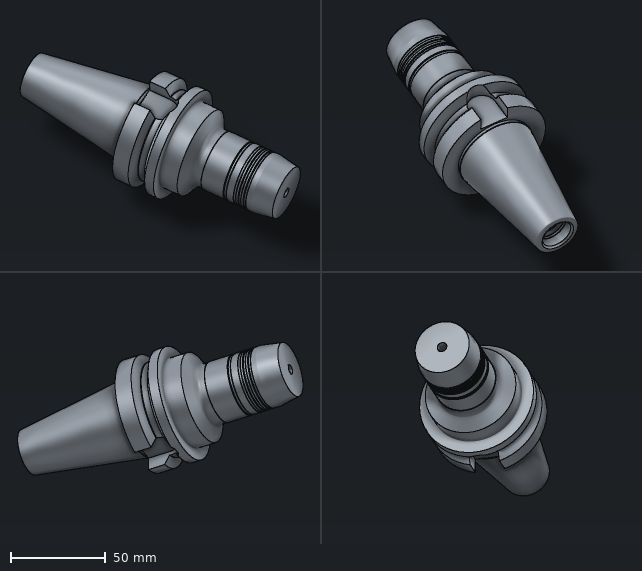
import cadquery as cq
import math


TAPER_LENGTH = 65.4
GAUGE_DIAMETER = 44.45
TAPER_RATIO = 7 / 24
TIP_FILLET = 1.0
RELIEF_DIAMETER = 43.6

FLANGE_START = 2.0
FLANGE_END = 27.0
FLANGE_DIAMETER = 63.0
GRIP_CENTER = 16.55
GRIP_FLOOR_DIAMETER = 53.0
GRIP_FLOOR_WIDTH = 4.2
GRIP_WALL_ANGLE = 30.0
GRIP_RELIEF_DEPTH = 0.1
GRIP_RELIEF_WIDTH = 0.4

SLOT_WIDTH = 16.1
SLOT_END = 22.9
SLOT_FLOOR_RADIUS = 22.6

SHOULDER_DIAMETER = 50.0
SHOULDER_END = 37.7
SHOULDER_ROOT_FILLET = 0.5
SHOULDER_CONE_ANGLE = 58.0
NECK_DIAMETER = 33.4
NECK_FILLET = 3.0
NOSE_DIAMETER = 34.0
NOSE_START = 47.6
NOSE_CONE_START = 78.3
NOSE_END_DIAMETER = 30.0
NOSE_END = 90.0

GROOVE_DEPTH = 0.4
GROOVE_CHAMFER = 0.4
CLIP_GROOVE_CENTER = 62.1
CLIP_GROOVE_WIDTH = 2.0
RING_SEAT_CENTER = 71.0
RING_SEAT_WIDTH = 7.5
RING_WIDTH = 2.0
RING_GAP = 1.1

MOUTH_DIAMETER = 19.2
PILOT_DIAMETER = 17.2
PILOT_START_DEPTH = 1.2
PILOT_END_DEPTH = 7.0
PILOT_RELIEF_DIAMETER = 17.8
PILOT_RELIEF_WIDTH = 1.6
THREAD_DIAMETER = 13.8
THREAD_START_DEPTH = 10.2
THREAD_END_DEPTH = 35.0
DRILL_DIAMETER = 8.8
DRILL_CONE_ANGLE = 60.0
DRILL_END_DEPTH = 45.0
COOLANT_DIAMETER = 5.2
COOLANT_CHAMFER = 0.4

EDGE_PICK_MARGIN = 0.01

tip_x = -TAPER_LENGTH
tip_radius = (GAUGE_DIAMETER - TAPER_RATIO * TAPER_LENGTH) / 2
nose_radius = NOSE_DIAMETER / 2
seat_radius = nose_radius - GROOVE_DEPTH


def turn(points):
    """Revolve a closed (x, radius) outline about the X axis."""
    return cq.Workplane("XZ").polyline(points).close().revolve(360, (0, 0, 0), (1, 0, 0))


def ring_band(start, end, inner_radius, outer_radius):
    """Plain ring around the X axis."""
    return turn([
        (start, inner_radius),
        (end, inner_radius),
        (end, outer_radius),
        (start, outer_radius),
    ])


def edges_at(solid, x, radius):
    """Circular edges up to the given radius in the plane across the axis at x."""
    reach = radius + EDGE_PICK_MARGIN
    box = cq.selectors.BoxSelector(
        (x - EDGE_PICK_MARGIN, -reach, -reach),
        (x + EDGE_PICK_MARGIN, reach, reach),
        boundingbox=True,
    )
    return solid.edges(box).edges("%CIRCLE")


def turned_blank():
    """Outside shape of the holder before grooves, slots and bore."""
    gauge_radius = GAUGE_DIAMETER / 2
    relief_radius = RELIEF_DIAMETER / 2
    flange_radius = FLANGE_DIAMETER / 2
    shoulder_radius = SHOULDER_DIAMETER / 2
    neck_radius = NECK_DIAMETER / 2
    cone_length = (shoulder_radius - neck_radius) / math.tan(math.radians(SHOULDER_CONE_ANGLE))
    neck_start = SHOULDER_END + cone_length
    blank = turn([
        (tip_x, 0),
        (tip_x, tip_radius),
        (0, gauge_radius),
        (0, relief_radius),
        (FLANGE_START, relief_radius),
        (FLANGE_START, flange_radius),
        (FLANGE_END, flange_radius),
        (FLANGE_END, shoulder_radius),
        (SHOULDER_END, shoulder_radius),
        (neck_start, neck_radius),
        (NOSE_START, neck_radius),
        (NOSE_START, nose_radius),
        (NOSE_CONE_START, nose_radius),
        (NOSE_END, NOSE_END_DIAMETER / 2),
        (NOSE_END, 0),
    ])
    blank = edges_at(blank, tip_x, tip_radius).fillet(TIP_FILLET)
    blank = edges_at(blank, FLANGE_END, shoulder_radius).fillet(SHOULDER_ROOT_FILLET)
    return edges_at(blank, neck_start, neck_radius).fillet(NECK_FILLET)


def grip_groove():
    """V-shaped gripper groove around the flange."""
    floor_radius = GRIP_FLOOR_DIAMETER / 2
    rim_radius = FLANGE_DIAMETER / 2
    floor_half = GRIP_FLOOR_WIDTH / 2
    wall_slope = math.tan(math.radians(GRIP_WALL_ANGLE))
    rim_half = floor_half + (rim_radius - floor_radius) * wall_slope
    relief_radius = floor_radius - GRIP_RELIEF_DEPTH
    relief_start = GRIP_CENTER - floor_half + GRIP_RELIEF_DEPTH * wall_slope
    relief_end = relief_start + GRIP_RELIEF_WIDTH
    return turn([
        (relief_start, relief_radius),
        (relief_end, relief_radius),
        (relief_end, floor_radius),
        (GRIP_CENTER + floor_half, floor_radius),
        (GRIP_CENTER + rim_half, rim_radius),
        (GRIP_CENTER - rim_half, rim_radius),
    ])


def drive_slot(side):
    """Round-ended drive slot at the top (side = 1) or bottom (side = -1) of the flange."""
    slot_radius = SLOT_WIDTH / 2
    arc_center = SLOT_END - slot_radius
    depth = FLANGE_DIAMETER / 2 - SLOT_FLOOR_RADIUS
    return (
        cq.Workplane("XY", origin=(0, 0, side * SLOT_FLOOR_RADIUS))
        .moveTo(FLANGE_START, -slot_radius)
        .lineTo(arc_center, -slot_radius)
        .threePointArc((SLOT_END, 0), (arc_center, slot_radius))
        .lineTo(FLANGE_START, slot_radius)
        .close()
        .extrude(side * depth)
    )


def clip_groove():
    """Shallow groove around the nose with sloping walls."""
    rim_half = CLIP_GROOVE_WIDTH / 2
    floor_half = rim_half - GROOVE_CHAMFER
    return turn([
        (CLIP_GROOVE_CENTER - floor_half, seat_radius),
        (CLIP_GROOVE_CENTER + floor_half, seat_radius),
        (CLIP_GROOVE_CENTER + rim_half, nose_radius),
        (CLIP_GROOVE_CENTER - rim_half, nose_radius),
    ])


def ring_seat():
    """Wide straight-walled groove that carries both rings."""
    half = RING_SEAT_WIDTH / 2
    return ring_band(RING_SEAT_CENTER - half, RING_SEAT_CENTER + half, seat_radius, nose_radius)


def bore():
    """Stepped bore open at both ends, widest near the shank tip."""
    pilot_radius = PILOT_DIAMETER / 2
    relief_radius = PILOT_RELIEF_DIAMETER / 2
    relief_start = tip_x + PILOT_END_DEPTH
    relief_end = relief_start + PILOT_RELIEF_WIDTH
    thread_radius = THREAD_DIAMETER / 2
    thread_end = tip_x + THREAD_END_DEPTH
    drill_end = tip_x + DRILL_END_DEPTH
    drill_radius = DRILL_DIAMETER / 2
    coolant_radius = COOLANT_DIAMETER / 2
    cone_length = (thread_radius - drill_radius) / math.tan(math.radians(DRILL_CONE_ANGLE))
    return turn([
        (tip_x, 0),
        (tip_x, MOUTH_DIAMETER / 2),
        (tip_x + PILOT_START_DEPTH, pilot_radius),
        (relief_start, pilot_radius),
        (relief_start, relief_radius),
        (relief_end, relief_radius),
        (relief_end, pilot_radius),
        (tip_x + THREAD_START_DEPTH, thread_radius),
        (thread_end, thread_radius),
        (thread_end + cone_length, drill_radius),
        (drill_end, drill_radius),
        (drill_end, coolant_radius + COOLANT_CHAMFER),
        (drill_end + COOLANT_CHAMFER, coolant_radius),
        (NOSE_END, coolant_radius),
        (NOSE_END, 0),
    ])


def balance_ring(center):
    """Ring with sloping sides that sits on the floor of the ring seat."""
    base_half = RING_WIDTH / 2
    top_half = base_half - GROOVE_CHAMFER
    return turn([
        (center - base_half, seat_radius),
        (center + base_half, seat_radius),
        (center + top_half, nose_radius),
        (center - top_half, nose_radius),
    ])


holder = turned_blank().cut(grip_groove()).cut(clip_groove()).cut(ring_seat()).cut(bore())
for slot_side in (1, -1):
    holder = holder.cut(drive_slot(slot_side))

ring_offset = (RING_WIDTH + RING_GAP) / 2
balance_rings = [balance_ring(RING_SEAT_CENTER + side * ring_offset) for side in (-1, 1)]

result = cq.Compound.makeCompound([holder.val(), *[ring.val() for ring in balance_rings]])